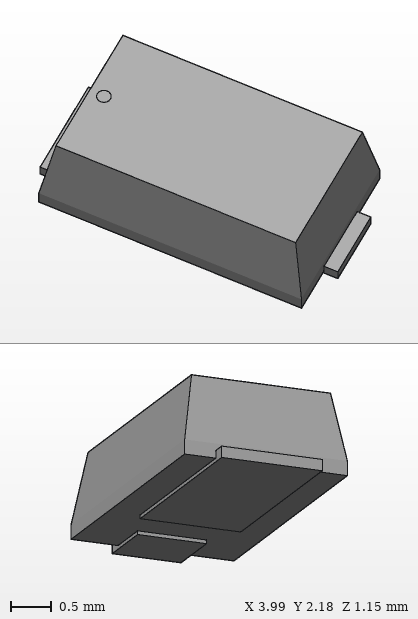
import cadquery as cq

overall_length = 3.99
overall_height = 1.15

housing_length = 3.615
housing_width = 2.18
housing_standoff = 0.048
base_top = 0.235
taper_inset = 0.16

lead_thickness = 0.148
wide_lead_length = 2.595
wide_lead_width = 1.345
narrow_lead_length = 0.815
narrow_lead_width = 0.92

dot_diameter = 0.18
dot_depth = 0.02
dot_from_wide_end = 0.545
dot_x = dot_from_wide_end - overall_length / 2


def make_lead(length, width, side):
    """Flat lead reaching inward from the outer end at side = -1 (-X) or +1 (+X)."""
    center_x = side * (overall_length - length) / 2
    return (
        cq.Workplane("XY")
        .center(center_x, 0)
        .rect(length, width)
        .extrude(lead_thickness)
    )


def make_dot():
    """Thin disc whose upper face is level with the top of the housing."""
    return (
        cq.Workplane("XY", origin=(dot_x, 0, overall_height - dot_depth))
        .circle(dot_diameter / 2)
        .extrude(dot_depth)
    )


def make_housing(inserts):
    """Moulded housing with a matching recess for each inserted body."""
    base = (
        cq.Workplane("XY", origin=(0, 0, housing_standoff))
        .rect(housing_length, housing_width)
        .extrude(base_top - housing_standoff)
    )
    tapered_part = (
        cq.Workplane("XY", origin=(0, 0, base_top))
        .rect(housing_length, housing_width)
        .workplane(offset=overall_height - base_top)
        .rect(housing_length - 2 * taper_inset, housing_width - 2 * taper_inset)
        .loft(ruled=True)
    )
    housing = base.union(tapered_part)
    for insert in inserts:
        housing = housing.cut(insert)
    return housing


wide_lead = make_lead(wide_lead_length, wide_lead_width, -1)
narrow_lead = make_lead(narrow_lead_length, narrow_lead_width, 1)
polarity_dot = make_dot()
housing = make_housing([wide_lead, narrow_lead, polarity_dot])

result = cq.Compound.makeCompound(
    [housing.val(), wide_lead.val(), narrow_lead.val(), polarity_dot.val()]
)